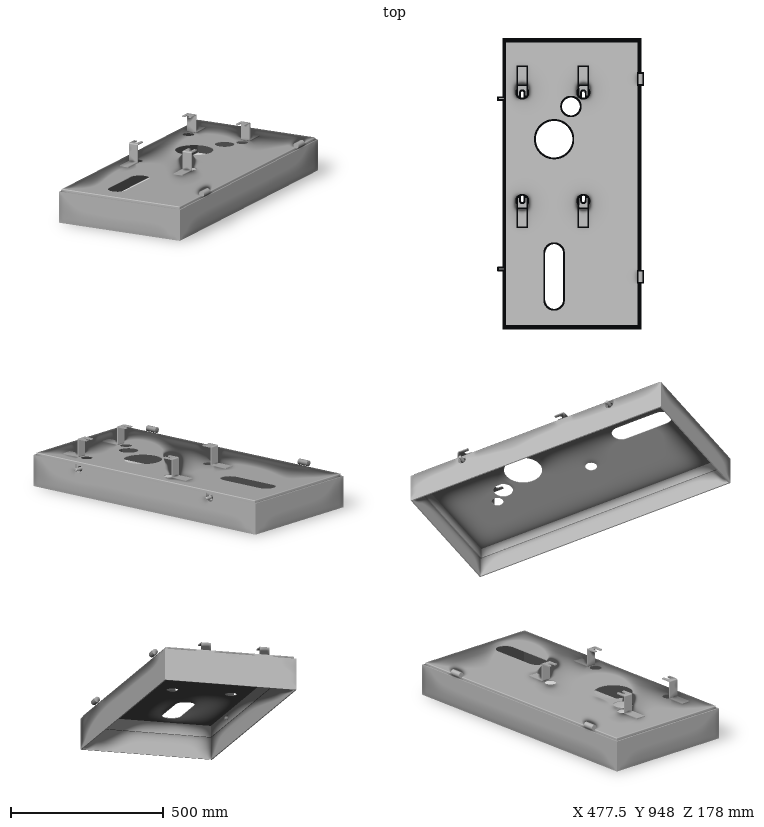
import cadquery as cq

frame_width = 450.0
frame_length = 948.0
frame_height = 105.0
frame_wall = 4.3
ledge_thickness = 2.0
frame_x = 5.0
frame_left = frame_x - frame_width / 2
frame_right = frame_x + frame_width / 2

rim_x = 5.2
rim_y = 8.0
door_width = frame_width - 2 * rim_x
door_length = frame_length - 2 * rim_y
door_sheet = 2.0
door_inner_width = door_width - 2 * door_sheet
door_inner_length = door_length - 2 * door_sheet
door_rise = 9.0
door_top = frame_height + door_rise
door_depth = 38.0
door_base = door_top - door_depth
door_bend = 3.0

opening_x = -53.0
large_hole_y = 146.0
large_hole_diameter = 125.0
small_hole_x = 2.0
small_hole_y = 253.0
small_hole_diameter = 63.5
long_slot_y = -303.0
long_slot_length = 217.0
long_slot_width = small_hole_diameter
access_hole_diameter = 39.0

column_xs = (-157.0, 43.0)
facing_middle_y = 121.0
seat_distance = 177.0
bracket_top = 178.0
bracket_width = 33.0
bracket_sheet = 4.0
flange_reach = 13.0
web_reach = 25.0
foot_reach = 86.0
open_slot_width = 14.0

pin_ys = (-279.0, 279.0)
pin_z = 92.0
pin_diameter = 10.0
pin_length = 33.0
pin_chamfer = 2.0
pin_overhang = 18.0
pin_hole_diameter = 19.0
notch_width = 29.0

hinge_ys = (-304.0, 343.0)
hinge_z = 122.0
hinge_diameter = 19.0
hinge_length = 40.0

bracket_places = [
    (x, facing_middle_y + side * seat_distance, side) for x in column_xs for side in (1, -1)
]


def frame_block(width, length, base, top):
    """A block centred on the frame, between two heights."""
    return cq.Workplane("XY", origin=(frame_x, 0, base)).rect(width, length).extrude(top - base)


def side_disc(x, y, diameter, length):
    """A cylinder at pin height that runs in +X from the given point."""
    return cq.Workplane("YZ", origin=(x, y, pin_z)).circle(diameter / 2).extrude(length)


def pin_notch(y):
    """A round-bottomed notch, open at the top, through the left wall."""
    height = frame_height - pin_z
    upper = (
        cq.Workplane("YZ", origin=(frame_left, y, pin_z + height / 2))
        .rect(notch_width, height)
        .extrude(frame_wall)
    )
    return upper.union(side_disc(frame_left, y, notch_width, frame_wall))


def make_frame():
    inner_width = frame_width - 2 * frame_wall
    inner_length = frame_length - 2 * frame_wall
    ledge_base = door_base - ledge_thickness

    frame = frame_block(frame_width, frame_length, 0, frame_height)
    frame = frame.cut(frame_block(inner_width, inner_length, 0, ledge_base))
    frame = frame.cut(frame_block(inner_width, inner_length, door_base, frame_height))
    frame = frame.cut(frame_block(door_inner_width, door_inner_length, ledge_base, door_base))
    for y in pin_ys:
        frame = frame.cut(pin_notch(y))
    return frame


def make_door():
    door = frame_block(door_width, door_length, door_base, door_top)
    door = door.edges("|Z or >Z").fillet(door_bend)
    panel_base = door_top - door_sheet
    door = door.cut(frame_block(door_inner_width, door_inner_length, door_base, panel_base))

    panel = cq.Workplane("XY", origin=(0, 0, panel_base))
    round_holes = [
        (opening_x, large_hole_y, large_hole_diameter),
        (small_hole_x, small_hole_y, small_hole_diameter),
    ]
    round_holes += [(x, y, access_hole_diameter) for x, y, _ in bracket_places]
    for x, y, diameter in round_holes:
        door = door.cut(panel.moveTo(x, y).circle(diameter / 2).extrude(door_sheet))
    long_slot = panel.moveTo(opening_x, long_slot_y).slot2D(long_slot_length, long_slot_width, 90)
    door = door.cut(long_slot.extrude(door_sheet))

    for y in pin_ys:
        door = door.cut(side_disc(frame_x - door_width / 2, y, pin_hole_diameter, door_sheet))
    return door


def make_bracket(x, seat_y, side):
    foot_top = door_top + bracket_sheet
    flange_base = bracket_top - bracket_sheet
    web_inner = web_reach - bracket_sheet

    bracket = (
        cq.Workplane("YZ", origin=(-bracket_width / 2, 0, 0))
        .moveTo(-flange_reach, bracket_top)
        .lineTo(web_reach - bracket_sheet, bracket_top)
        .radiusArc((web_reach, flange_base), bracket_sheet)
        .lineTo(web_reach, foot_top)
        .lineTo(foot_reach, foot_top)
        .lineTo(foot_reach, door_top)
        .lineTo(web_reach, door_top)
        .radiusArc((web_inner, foot_top), bracket_sheet)
        .lineTo(web_inner, flange_base)
        .lineTo(-flange_reach, flange_base)
        .close()
        .extrude(bracket_width)
    )

    flange = cq.Workplane("XY", origin=(0, 0, flange_base))
    seat = flange.circle(open_slot_width / 2).extrude(bracket_sheet)
    mouth = flange.moveTo(0, -flange_reach / 2).rect(open_slot_width, flange_reach).extrude(bracket_sheet)
    bracket = bracket.cut(seat).cut(mouth)

    if side < 0:
        bracket = bracket.mirror("XZ")
    return bracket.translate((x, seat_y, 0))


def make_pin(y):
    pin = side_disc(frame_left - pin_overhang, y, pin_diameter, pin_length)
    return pin.faces("<X").chamfer(pin_chamfer)


def make_hinge(y):
    return (
        cq.Workplane("XZ", origin=(frame_right, y + hinge_length / 2, hinge_z))
        .circle(hinge_diameter / 2)
        .extrude(hinge_length)
    )


frame = make_frame()
door = make_door()
brackets = [make_bracket(x, y, side) for x, y, side in bracket_places]
pins = [make_pin(y) for y in pin_ys]
hinges = [make_hinge(y) for y in hinge_ys]

bodies = [frame, door, *brackets, *pins, *hinges]
result = cq.Compound.makeCompound([body.val() for body in bodies])